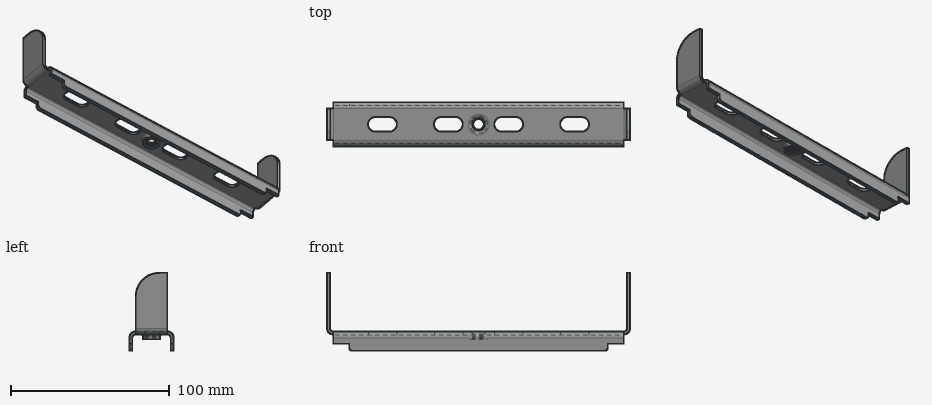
import cadquery as cq
SHEET = 2.0
BEND_INNER = 2.0
BEND_OUTER = BEND_INNER + SHEET

OVERALL_LENGTH = 191.0
OVERALL_WIDTH = 28.0
OVERALL_HEIGHT = 49.22

CHANNEL_LENGTH = OVERALL_LENGTH - 2 * BEND_OUTER
CHANNEL_HEIGHT = 12.3
PLATE_BOTTOM = CHANNEL_HEIGHT - SHEET

LIP_LENGTH = 163.0
STEP_HEIGHT = 4.5
LIP_CORNER_RADIUS = 2.0

TAB_WIDTH = OVERALL_WIDTH - 2 * BEND_OUTER
TAB_CORNER_RADIUS = 15.0

SLOT_LENGTH = 18.0
SLOT_WIDTH = 9.0
SLOT_OFFSETS = (19.0, 60.5)

THREAD_MINOR_DIAMETER = 6.6
THREAD_MAJOR_DIAMETER = 8.0
THREAD_PITCH = 1.25
THREAD_GROOVES = 3
COLLAR_OUTER_DIAMETER = 11.0
COLLAR_DEPTH = 3.0
COLLAR_MOUTH_RADIUS = 3.2
COLLAR_ROOT_RADIUS = 1.0


def channel():
    """U channel open downwards, with rounded bends along both long edges."""
    outer = (
        cq.Workplane("XY")
        .box(CHANNEL_LENGTH, OVERALL_WIDTH, CHANNEL_HEIGHT, centered=(True, True, False))
        .edges("|X and >Z")
        .fillet(BEND_OUTER)
    )
    inner = (
        cq.Workplane("XY")
        .box(CHANNEL_LENGTH, OVERALL_WIDTH - 2 * SHEET, PLATE_BOTTOM, centered=(True, True, False))
        .edges("|X and >Z")
        .fillet(BEND_INNER)
    )
    return outer.cut(inner)


def flange_outline():
    """Side outline of the channel, with the flanges stepped up at both ends."""
    full = (
        cq.Workplane("XY")
        .box(CHANNEL_LENGTH, OVERALL_WIDTH, CHANNEL_HEIGHT - STEP_HEIGHT, centered=(True, True, False))
        .translate((0, 0, STEP_HEIGHT))
    )
    lip = (
        cq.Workplane("XY")
        .box(LIP_LENGTH, OVERALL_WIDTH, CHANNEL_HEIGHT, centered=(True, True, False))
        .edges("|Y and <Z")
        .fillet(LIP_CORNER_RADIUS)
    )
    return full.union(lip)


def left_tab():
    """Tab bent upwards from the -X end of the plate, its +Y top corner rounded."""
    outer_x = -OVERALL_LENGTH / 2
    inner_x = outer_x + SHEET
    bend_x = outer_x + BEND_OUTER
    bend_z = PLATE_BOTTOM + BEND_OUTER
    overlap_x = bend_x + SHEET
    return (
        cq.Workplane("XZ", origin=(0, TAB_WIDTH / 2, 0))
        .moveTo(outer_x, OVERALL_HEIGHT)
        .lineTo(outer_x, bend_z)
        .radiusArc((bend_x, PLATE_BOTTOM), -BEND_OUTER)
        .lineTo(overlap_x, PLATE_BOTTOM)
        .lineTo(overlap_x, CHANNEL_HEIGHT)
        .lineTo(bend_x, CHANNEL_HEIGHT)
        .radiusArc((inner_x, bend_z), BEND_INNER)
        .lineTo(inner_x, OVERALL_HEIGHT)
        .close()
        .extrude(TAB_WIDTH)
        .edges("|X and >Z and >Y")
        .fillet(TAB_CORNER_RADIUS)
    )


def slots():
    """Through slots, placed symmetrically about the middle of the plate."""
    centres = [(side * offset, 0) for offset in SLOT_OFFSETS for side in (-1, 1)]
    return (
        cq.Workplane("XY")
        .pushPoints(centres)
        .slot2D(SLOT_LENGTH, SLOT_WIDTH)
        .extrude(CHANNEL_HEIGHT)
    )


def collar_blank():
    """Solid collar under the plate, blended into it by a concave root fillet."""
    outer_radius = COLLAR_OUTER_DIAMETER / 2
    root_radius = outer_radius + COLLAR_ROOT_RADIUS
    return (
        cq.Workplane("XZ")
        .moveTo(0, PLATE_BOTTOM - COLLAR_DEPTH)
        .lineTo(outer_radius, PLATE_BOTTOM - COLLAR_DEPTH)
        .lineTo(outer_radius, PLATE_BOTTOM - COLLAR_ROOT_RADIUS)
        .radiusArc((root_radius, PLATE_BOTTOM), COLLAR_ROOT_RADIUS)
        .lineTo(root_radius, CHANNEL_HEIGHT)
        .lineTo(0, CHANNEL_HEIGHT)
        .close()
        .revolve(360, (0, 0, 0), (0, 1, 0))
    )


def collar_bore():
    """Through bore at the minor thread diameter, with a rounded mouth at the top."""
    bore_radius = THREAD_MINOR_DIAMETER / 2
    return (
        cq.Workplane("XZ")
        .lineTo(bore_radius, 0)
        .lineTo(bore_radius, CHANNEL_HEIGHT - COLLAR_MOUTH_RADIUS)
        .radiusArc((bore_radius + COLLAR_MOUTH_RADIUS, CHANNEL_HEIGHT), COLLAR_MOUTH_RADIUS)
        .lineTo(0, CHANNEL_HEIGHT)
        .close()
        .revolve(360, (0, 0, 0), (0, 1, 0))
    )


def thread_grooves():
    """Thread represented by stacked ring-shaped V grooves, counted from the collar's lower end."""
    minor_radius = THREAD_MINOR_DIAMETER / 2
    major_radius = THREAD_MAJOR_DIAMETER / 2
    crest_z = PLATE_BOTTOM - COLLAR_DEPTH
    profile = cq.Workplane("XZ").moveTo(0, crest_z).lineTo(minor_radius, crest_z)
    for _ in range(THREAD_GROOVES):
        profile = profile.lineTo(major_radius, crest_z + THREAD_PITCH / 2)
        crest_z += THREAD_PITCH
        profile = profile.lineTo(minor_radius, crest_z)
    return profile.lineTo(0, crest_z).close().revolve(360, (0, 0, 0), (0, 1, 0))


tab = left_tab()
result = channel().intersect(flange_outline())
result = result.union(tab).union(tab.mirror("YZ"))
result = result.union(collar_blank()).cut(collar_bore()).cut(thread_grooves()).cut(slots())